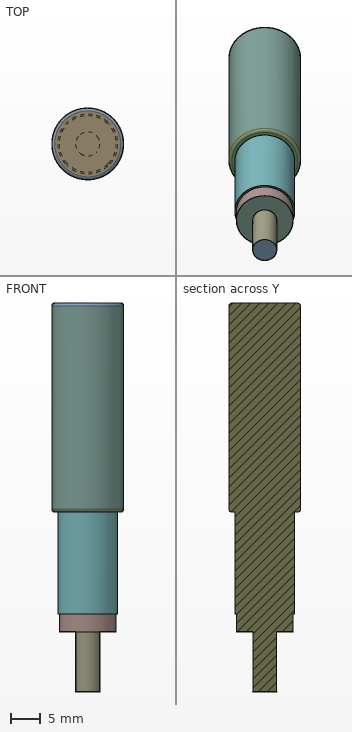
import cadquery as cq

total_length = 65.0
head_diameter = 12.0
head_length = 35.0
head_edge_radius = 0.5
body_diameter = 10.0
body_length = 17.0
collar_diameter = 9.5
collar_length = 3.0
pin_diameter = 4.0

head_bottom = total_length - head_length
body_bottom = head_bottom - body_length
collar_bottom = body_bottom - collar_length


def cylinder(diameter, bottom, top):
    """Upright cylinder on the Z axis between two heights."""
    return cq.Workplane("XY").workplane(offset=bottom).circle(diameter / 2).extrude(top - bottom)


head = cylinder(head_diameter, head_bottom, total_length).edges("%CIRCLE").fillet(head_edge_radius)

body = cylinder(body_diameter, body_bottom, head_bottom)
collar = cylinder(collar_diameter, collar_bottom, body_bottom)
pin = cylinder(pin_diameter, 0, collar_bottom)

result = head.union(body).union(collar).union(pin)